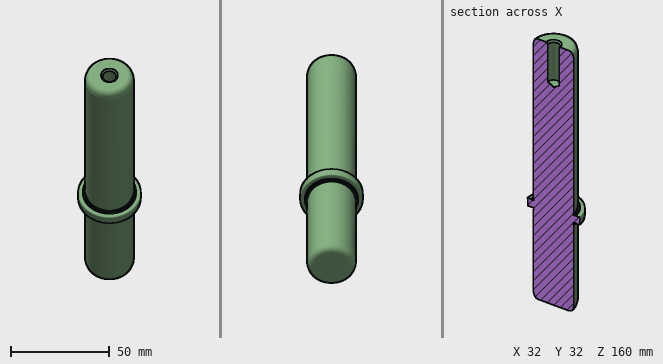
import cadquery as cq
import math

LENGTH = 160.0
BODY_RADIUS = 12.5
COLLAR_RADIUS = 16.0
COLLAR_BOTTOM = 55.0
COLLAR_HEIGHT = 5.1
COLLAR_ROUND = 0.5

LEAD_ANGLE = math.radians(15)
LEAD_LENGTH = 4.0
END_FILLET = 3.0

UNDERCUT_WIDTH = 1.1
UNDERCUT_DEPTH = 0.3
UNDERCUT_RUNOUT = 0.5
RELIEF_DEPTH = 0.2
RELIEF_RADIUS = 13.6

HOLE_RADIUS = 3.4
HOLE_MOUTH_RADIUS = 4.3
HOLE_DEPTH = 24.0
DRILL_POINT_ANGLE = math.radians(118)


def make_body():
    """Revolve the shaft with a tangent taper and round at each end."""
    fillet_height = END_FILLET * (1 - math.sin(LEAD_ANGLE))
    taper_radius = BODY_RADIUS - (LEAD_LENGTH - fillet_height) * math.tan(LEAD_ANGLE)
    centre_radius = taper_radius - END_FILLET * math.cos(LEAD_ANGLE)
    middle_angle = (LEAD_ANGLE + math.pi / 2) / 2
    middle_radius = centre_radius + END_FILLET * math.cos(middle_angle)
    middle_height = END_FILLET * (1 - math.sin(middle_angle))
    return (
        cq.Workplane("XZ")
        .lineTo(centre_radius, 0)
        .threePointArc((middle_radius, middle_height), (taper_radius, fillet_height))
        .lineTo(BODY_RADIUS, LEAD_LENGTH)
        .lineTo(BODY_RADIUS, LENGTH - LEAD_LENGTH)
        .lineTo(taper_radius, LENGTH - fillet_height)
        .threePointArc((middle_radius, LENGTH - middle_height), (centre_radius, LENGTH))
        .lineTo(0, LENGTH)
        .close()
        .revolve(360, (0, 0), (0, 1))
    )


def make_collar():
    return (
        cq.Workplane("XY")
        .workplane(offset=COLLAR_BOTTOM)
        .circle(COLLAR_RADIUS)
        .extrude(COLLAR_HEIGHT)
        .edges()
        .fillet(COLLAR_ROUND)
    )


def make_undercut(face_height, direction):
    """Ring cutter at a collar face; direction points away from the collar."""
    floor_radius = BODY_RADIUS - UNDERCUT_DEPTH
    relief_height = face_height - direction * RELIEF_DEPTH
    runout_start = face_height + direction * (UNDERCUT_WIDTH - UNDERCUT_RUNOUT)
    far_height = face_height + direction * UNDERCUT_WIDTH
    return (
        cq.Workplane("XZ")
        .moveTo(floor_radius, relief_height)
        .lineTo(floor_radius, runout_start)
        .lineTo(BODY_RADIUS, far_height)
        .lineTo(RELIEF_RADIUS, face_height)
        .lineTo(RELIEF_RADIUS - UNDERCUT_RUNOUT, relief_height)
        .close()
        .revolve(360, (0, 0), (0, 1))
    )


def make_centre_hole():
    """Countersunk drill shape with a conical bottom."""
    mouth_depth = HOLE_MOUTH_RADIUS - HOLE_RADIUS
    point_length = HOLE_RADIUS / math.tan(DRILL_POINT_ANGLE / 2)
    floor = LENGTH - HOLE_DEPTH
    return (
        cq.Workplane("XZ")
        .moveTo(0, LENGTH)
        .lineTo(HOLE_MOUTH_RADIUS, LENGTH)
        .lineTo(HOLE_RADIUS, LENGTH - mouth_depth)
        .lineTo(HOLE_RADIUS, floor)
        .lineTo(0, floor - point_length)
        .close()
        .revolve(360, (0, 0), (0, 1))
    )


result = make_body().union(make_collar())
for face_height, direction in ((COLLAR_BOTTOM, -1), (COLLAR_BOTTOM + COLLAR_HEIGHT, 1)):
    result = result.cut(make_undercut(face_height, direction))
result = result.cut(make_centre_hole())